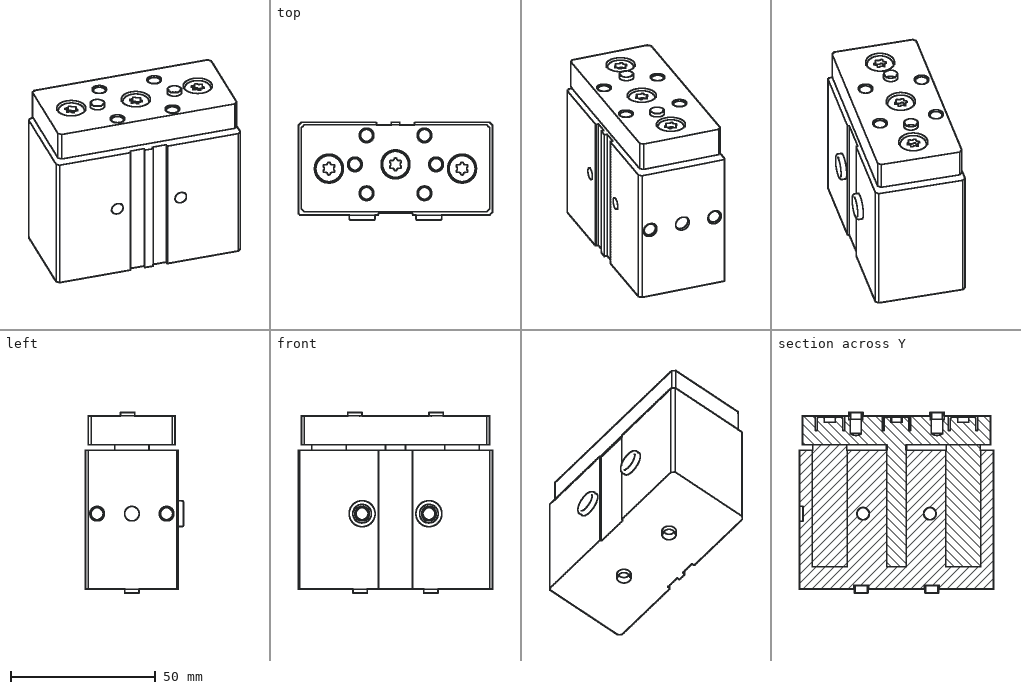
import cadquery as cq
import math


HOUSING_LENGTH = 67.0
HOUSING_DEPTH = 32.0
HOUSING_HEIGHT = 48.0
CORNER_CHAMFER = 1.0
SMALL_CORNER_CHAMFER = 0.5
HALF_LENGTH = HOUSING_LENGTH / 2
FRONT_Y = -HOUSING_DEPTH / 2
BACK_Y = HOUSING_DEPTH / 2
MID_HEIGHT = 26.0

FRONT_GROOVE_WIDTH = 11.5
FRONT_GROOVE_DEPTH = 0.6
FRONT_GROOVE_FLARE = 0.3
BACK_GROOVE_WIDTH = 13.0
BACK_GROOVE_DEPTH = 1.0
BACK_GROOVE_CHAMFER = 0.3
BACK_RIB_WIDTH = 3.0

THREAD_DIAMETER = 4.15
THREAD_MOUTH_DIAMETER = 5.0
THREAD_MOUTH_CHAMFER = (THREAD_MOUTH_DIAMETER - THREAD_DIAMETER) / 2
DRILL_POINT_ANGLE = 118.0

SIDE_HOLE_OFFSET = 12.0
SIDE_HOLE_DEPTH = 10.05
DOWEL_SEAT_DIAMETER = 5.0
DOWEL_SEAT_DEPTH = 1.2

SMALL_SLEEVE_OUTER = 5.0
SMALL_SLEEVE_INNER = 4.0
TOP_SLEEVE_PROTRUSION = 1.2
BOTTOM_SLEEVE_PROTRUSION = 1.4
SMALL_SLEEVE_SEAT_DEPTH = 1.2
LARGE_SLEEVE_OUTER = 9.0
LARGE_SLEEVE_INNER = 6.4
LARGE_SLEEVE_PROTRUSION = 1.8
LARGE_SLEEVE_SEAT_DEPTH = 1.8
TOP_SLEEVE_X = 14.0
BOTTOM_SLEEVE_X = 12.2
FRONT_SLEEVE_X = 11.5

PLATE_LENGTH = 65.0
PLATE_DEPTH = 30.0
PLATE_THICKNESS = 10.0
PLATE_GAP = 1.8
PLATE_CENTRE_Y = 0.1
PLATE_BOTTOM = HOUSING_HEIGHT + PLATE_GAP
PLATE_TOP = PLATE_BOTTOM + PLATE_THICKNESS
PLATE_HOLE_SPACING = 19.95
PLATE_SLEEVE_HOLE_DEPTH = 6.0

GUIDE_DIAMETER = 12.0
GUIDE_X = 23.0
PISTON_ROD_DIAMETER = 7.0
PISTON_Y = 1.5
ROD_ENGAGEMENT = 40.2

COUNTERBORE_DIAMETER = 10.0
COUNTERBORE_DEPTH = 5.0
HEAD_DIAMETER = 9.0
HEAD_FILLET = 0.5
HEAD_RECESS = 0.5
DRIVE_TIP_RADIUS = 2.2
DRIVE_VALLEY_RADIUS = 1.6
DRIVE_FLANK_RADIUS = 1.95
DRIVE_LOBE_HALF_ANGLE = 13.0
DRIVE_DEPTH = 1.7
DRIVE_LOBES = 6

SCREW_POSITIONS = [(-GUIDE_X, 0.0), (0.0, PISTON_Y), (GUIDE_X, 0.0)]
TOP_SLEEVE_POSITIONS = [(side * TOP_SLEEVE_X, PISTON_Y) for side in (-1, 1)]
BOTTOM_SLEEVE_POSITIONS = [(side * BOTTOM_SLEEVE_X, 0.0) for side in (-1, 1)]
GUIDE_POSITIONS = [(side * GUIDE_X, 0.0) for side in (-1, 1)]

X_AXIS = cq.Vector(1, 0, 0)
Y_AXIS = cq.Vector(0, 1, 0)
UP = cq.Vector(0, 0, 1)
DOWN = cq.Vector(0, 0, -1)


def cylinder(diameter, length, start, direction):
    return cq.Workplane(cq.Solid.makeCylinder(diameter / 2, length, cq.Vector(*start), direction))


def threaded_hole_mouth(start, direction):
    """Conical countersink at the mouth of a threaded hole."""
    return cq.Workplane(cq.Solid.makeCone(
        THREAD_MOUTH_DIAMETER / 2, THREAD_DIAMETER / 2, THREAD_MOUTH_CHAMFER, cq.Vector(*start), direction
    ))


def drilled_hole(depth, start, direction):
    """Blind hole of thread diameter that ends in a drill point."""
    point_height = THREAD_DIAMETER / 2 / math.tan(math.radians(DRILL_POINT_ANGLE / 2))
    tip_start = cq.Vector(*start) + direction * depth
    drill_point = cq.Solid.makeCone(THREAD_DIAMETER / 2, 0, point_height, tip_start, direction)
    return cylinder(THREAD_DIAMETER, depth, start, direction).union(cq.Workplane(drill_point))


def drive_recess(x, y, z):
    """Six-lobed star socket that opens upward at height z, one lobe along +Y."""
    def point(radius, angle):
        return (radius * math.cos(math.radians(angle)), radius * math.sin(math.radians(angle)))

    pitch = 360 / DRIVE_LOBES
    outline = cq.Workplane("XY", origin=(x, y, z))
    outline = outline.moveTo(*point(DRIVE_FLANK_RADIUS, 90 - DRIVE_LOBE_HALF_ANGLE))
    for lobe in range(DRIVE_LOBES):
        angle = 90 + lobe * pitch
        flank = point(DRIVE_FLANK_RADIUS, angle + DRIVE_LOBE_HALF_ANGLE)
        next_flank = point(DRIVE_FLANK_RADIUS, angle + pitch - DRIVE_LOBE_HALF_ANGLE)
        outline = outline.threePointArc(point(DRIVE_TIP_RADIUS, angle), flank)
        outline = outline.threePointArc(point(DRIVE_VALLEY_RADIUS, angle + pitch / 2), next_flank)
    return outline.close().extrude(-DRIVE_DEPTH)


def housing_block():
    """Chamfered block with a shallow front groove and a ribbed back groove along Z."""
    block = cq.Workplane("XY").box(
        HOUSING_LENGTH, HOUSING_DEPTH, HOUSING_HEIGHT, centered=(True, True, False)
    )
    block = block.edges("|Z and >Y").chamfer(CORNER_CHAMFER)
    block = block.edges("|Z and >X and <Y").chamfer(CORNER_CHAMFER)
    block = block.edges("|Z and <X and <Y").chamfer(SMALL_CORNER_CHAMFER)

    floor_half = FRONT_GROOVE_WIDTH / 2
    mouth_half = floor_half + FRONT_GROOVE_FLARE
    floor_y = FRONT_Y + FRONT_GROOVE_DEPTH
    front_groove = cq.Workplane("XY").polyline([
        (-mouth_half, FRONT_Y), (mouth_half, FRONT_Y), (floor_half, floor_y), (-floor_half, floor_y)
    ]).close().extrude(HOUSING_HEIGHT)

    half = BACK_GROOVE_WIDTH / 2
    wide_half = half + BACK_GROOVE_CHAMFER
    chamfer_y = BACK_Y - BACK_GROOVE_CHAMFER
    back_floor_y = BACK_Y - BACK_GROOVE_DEPTH
    back_groove = cq.Workplane("XY").polyline([
        (-wide_half, BACK_Y), (-half, chamfer_y), (-half, back_floor_y),
        (half, back_floor_y), (half, chamfer_y), (wide_half, BACK_Y),
    ]).close().extrude(HOUSING_HEIGHT)
    rib = cq.Workplane("XY").box(
        BACK_RIB_WIDTH, BACK_GROOVE_DEPTH, HOUSING_HEIGHT, centered=(True, False, False)
    ).translate((0, back_floor_y, 0))
    return block.cut(front_groove).cut(back_groove.cut(rib))


def make_housing():
    housing = housing_block()

    bore_bottom = HOUSING_HEIGHT - ROD_ENGAGEMENT
    for x, y in GUIDE_POSITIONS:
        housing = housing.cut(cylinder(GUIDE_DIAMETER, ROD_ENGAGEMENT, (x, y, bore_bottom), UP))
    housing = housing.cut(cylinder(PISTON_ROD_DIAMETER, ROD_ENGAGEMENT, (0, PISTON_Y, bore_bottom), UP))

    seat_floor_y = FRONT_Y + LARGE_SLEEVE_SEAT_DEPTH
    for side in (-1, 1):
        x = side * FRONT_SLEEVE_X
        housing = housing.cut(
            cylinder(LARGE_SLEEVE_OUTER, LARGE_SLEEVE_SEAT_DEPTH, (x, FRONT_Y, MID_HEIGHT), Y_AXIS)
        )
        housing = housing.cut(cylinder(THREAD_DIAMETER, HOUSING_DEPTH, (x, FRONT_Y, MID_HEIGHT), Y_AXIS))
        housing = housing.cut(threaded_hole_mouth((x, seat_floor_y, MID_HEIGHT), Y_AXIS))

    for side in (-1, 1):
        mouth = (-HALF_LENGTH, side * SIDE_HOLE_OFFSET, MID_HEIGHT)
        housing = housing.cut(drilled_hole(SIDE_HOLE_DEPTH, mouth, X_AXIS))
        housing = housing.cut(threaded_hole_mouth(mouth, X_AXIS))
    dowel_seat = cylinder(DOWEL_SEAT_DIAMETER, DOWEL_SEAT_DEPTH, (-HALF_LENGTH, 0, MID_HEIGHT), X_AXIS)
    housing = housing.cut(dowel_seat)

    for x, y in BOTTOM_SLEEVE_POSITIONS:
        housing = housing.cut(cylinder(SMALL_SLEEVE_OUTER, SMALL_SLEEVE_SEAT_DEPTH, (x, y, 0), UP))
    return housing


def make_plate():
    """Plate with its screw heads and the piston rod below it."""
    plate = cq.Workplane("XY").box(
        PLATE_LENGTH, PLATE_DEPTH, PLATE_THICKNESS, centered=(True, True, False)
    ).edges("|Z").chamfer(CORNER_CHAMFER).translate((0, PLATE_CENTRE_Y, PLATE_BOTTOM))

    counterbore_floor = PLATE_TOP - COUNTERBORE_DEPTH
    head_height = COUNTERBORE_DEPTH - HEAD_RECESS
    for x, y in SCREW_POSITIONS:
        head = cylinder(HEAD_DIAMETER, head_height, (x, y, counterbore_floor), UP)
        head = head.faces(">Z").edges().fillet(HEAD_FILLET)
        head = head.cut(drive_recess(x, y, counterbore_floor + head_height))
        plate = plate.cut(cylinder(COUNTERBORE_DIAMETER, COUNTERBORE_DEPTH, (x, y, counterbore_floor), UP))
        plate = plate.union(head)

    for side_x in (-1, 1):
        for side_y in (-1, 1):
            x = side_x * PLATE_HOLE_SPACING / 2
            y = PISTON_Y + side_y * PLATE_HOLE_SPACING / 2
            plate = plate.cut(cylinder(THREAD_DIAMETER, PLATE_THICKNESS, (x, y, PLATE_BOTTOM), UP))
            plate = plate.cut(threaded_hole_mouth((x, y, PLATE_TOP), DOWN))

    for x, y in TOP_SLEEVE_POSITIONS:
        plate = plate.cut(cylinder(SMALL_SLEEVE_OUTER, SMALL_SLEEVE_SEAT_DEPTH, (x, y, PLATE_TOP), DOWN))
        plate = plate.cut(drilled_hole(PLATE_SLEEVE_HOLE_DEPTH, (x, y, PLATE_TOP), DOWN))

    rod_bottom = HOUSING_HEIGHT - ROD_ENGAGEMENT
    piston_rod = cylinder(PISTON_ROD_DIAMETER, ROD_ENGAGEMENT + PLATE_GAP, (0, PISTON_Y, rod_bottom), UP)
    return plate.union(piston_rod)


def make_guide_rod(x, y):
    """Rod from the plate's underside down to the floor of its bore."""
    rod_bottom = HOUSING_HEIGHT - ROD_ENGAGEMENT
    return cylinder(GUIDE_DIAMETER, ROD_ENGAGEMENT + PLATE_GAP, (x, y, rod_bottom), UP)


def make_sleeve(outer_diameter, inner_diameter, seat_depth, protrusion):
    """Tube along +Z with a full-round lip; Z = 0 is the face it protrudes from."""
    outer = outer_diameter / 2
    inner = inner_diameter / 2
    lip_radius = (outer - inner) / 2
    lip_start = protrusion - lip_radius
    return (
        cq.Workplane("XZ")
        .moveTo(inner, -seat_depth)
        .lineTo(outer, -seat_depth)
        .lineTo(outer, lip_start)
        .threePointArc((inner + lip_radius, protrusion), (inner, lip_start))
        .close()
        .revolve(360, (0, 0), (0, 1))
    )


def make_small_sleeve(protrusion):
    return make_sleeve(SMALL_SLEEVE_OUTER, SMALL_SLEEVE_INNER, SMALL_SLEEVE_SEAT_DEPTH, protrusion)


def make_large_sleeve():
    return make_sleeve(
        LARGE_SLEEVE_OUTER, LARGE_SLEEVE_INNER, LARGE_SLEEVE_SEAT_DEPTH, LARGE_SLEEVE_PROTRUSION
    )


housing = make_housing()
plate = make_plate()
guide_rods = [make_guide_rod(x, y) for x, y in GUIDE_POSITIONS]

top_sleeves = []
for x, y in TOP_SLEEVE_POSITIONS:
    sleeve = make_small_sleeve(TOP_SLEEVE_PROTRUSION)
    top_sleeves.append(sleeve.translate((x, y, PLATE_TOP)))

bottom_sleeves = []
for x, y in BOTTOM_SLEEVE_POSITIONS:
    sleeve = make_small_sleeve(BOTTOM_SLEEVE_PROTRUSION).rotate((0, 0, 0), (1, 0, 0), 180)
    bottom_sleeves.append(sleeve.translate((x, y, 0)))

front_sleeves = []
for side in (-1, 1):
    sleeve = make_large_sleeve().rotate((0, 0, 0), (1, 0, 0), 90)
    front_sleeves.append(sleeve.translate((side * FRONT_SLEEVE_X, FRONT_Y, MID_HEIGHT)))

bodies = [housing, plate, *guide_rods, *top_sleeves, *bottom_sleeves, *front_sleeves]
result = cq.Compound.makeCompound([body.val() for body in bodies])